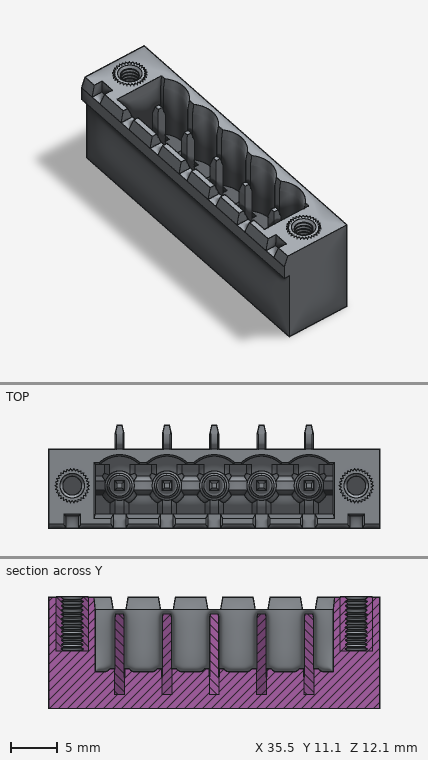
import cadquery as cq
import math

length = 35.55
position_count = 5
pitch = length / (position_count + 2)
contact_xs = [pitch * (i - (position_count - 1) / 2) for i in range(position_count)]
insert_x = pitch * (position_count + 1) / 2
insert_xs = [-insert_x, insert_x]

height = 12.0
half_depth = 3.9
lip_overhang = 0.68
lip_front = -half_depth - lip_overhang
lip_height = 3.02
lip_chamfer_depth = 0.45
lead_in_height = 1.3
lead_in_z = height - lead_in_height

floor_z = 3.45
cavity_half_length = 12.75
cavity_front = -3.05
cavity_back = 2.28
mouth_half_length = 12.9
mouth_front = -3.52
mouth_back = 2.5
bay_radius = 3.0
bay_mouth_radius = 3.15
bay_center_y = 0.18

rib_height = 0.55
rib_top_z = floor_z + rib_height
rib_slope = 0.55
narrow_rib_width = 0.95
wide_rib_width = 2.2
boss_radius = 3.15 / 2
boss_shoulder_radius = 2.65 / 2
boss_top_radius = 2.25 / 2
boss_shoulder_rise = 0.1
boss_cap_rise = 0.2
boss_shoulder_z = rib_top_z + boss_shoulder_rise
boss_top_z = boss_shoulder_z + boss_cap_rise
wall_bite = 0.18

slot_top_width = 1.8
slot_floor_width = 1.35
slot_back = cavity_front
end_slot_floor_back = -3.27

pin_width = 1.0
pin_tip_width = 0.55
pin_taper = 1.0
pin_top = 10.85
socket_width = 1.05
tail_z = 2.03
tail_end = 6.5
tail_chamfer = 0.15

insert_proud = 0.05
knurl_count = 30
knurl_root_radius = 3.2 / 2
knurl_tip_radius = 3.7 / 2
thread_minor_radius = 2.03 / 2
thread_major_radius = 2.5 / 2
thread_pitch = 0.45
thread_crest = thread_pitch / 4
thread_turns = 12
thread_mouth_radius = 2.63 / 2
thread_mouth_depth = thread_pitch / 2
insert_length = thread_turns * thread_pitch + thread_mouth_depth


def frustum_of_boxes(low_rect, low_z, high_rect, high_z):
    """Flat-sided solid between two rectangles given as (x0, x1, y0, y1)."""
    def corners(rect, z):
        x0, x1, y0, y1 = rect
        return [cq.Vector(x0, y0, z), cq.Vector(x1, y0, z), cq.Vector(x1, y1, z), cq.Vector(x0, y1, z)]

    low = corners(low_rect, low_z)
    high = corners(high_rect, high_z)
    outlines = [low, high]
    for i in range(4):
        j = (i + 1) % 4
        outlines.append([low[i], low[j], high[j], high[i]])
    faces = [cq.Face.makeFromWires(cq.Wire.makePolygon(outline, close=True)) for outline in outlines]
    return cq.Workplane(obj=cq.Solid.makeSolid(cq.Shell.makeShell(faces)))


def make_shell():
    """Solid block with the chamfered lip along its front top edge."""
    profile = [
        (half_depth, 0),
        (half_depth, height),
        (lip_front + lip_chamfer_depth, height),
        (lip_front, lead_in_z),
        (lip_front, height - lip_height),
        (-half_depth, height - lip_height),
        (-half_depth, 0),
    ]
    return cq.Workplane("YZ").polyline(profile).close().extrude(length / 2, both=True)


def make_bay(x):
    """Round bulge of the cavity's back wall behind one contact, floored level with the rib tops."""
    cylinder = cq.Solid.makeCylinder(bay_radius, lead_in_z - rib_top_z, cq.Vector(x, bay_center_y, rib_top_z))
    mouth = cq.Solid.makeCone(
        bay_radius, bay_mouth_radius, lead_in_height, cq.Vector(x, bay_center_y, lead_in_z)
    )
    behind = cq.Workplane().box(pitch, half_depth, height, centered=(True, False, False))
    behind = behind.translate((x, cavity_back - wall_bite, 0))
    return cq.Workplane(obj=cylinder).union(cq.Workplane(obj=mouth)).intersect(behind)


def make_cavity():
    straight = (-cavity_half_length, cavity_half_length, cavity_front, cavity_back)
    mouth = (-mouth_half_length, mouth_half_length, mouth_front, mouth_back)
    cavity = frustum_of_boxes(straight, floor_z, straight, lead_in_z)
    cavity = cavity.union(frustum_of_boxes(straight, lead_in_z, mouth, height))
    for x in contact_xs:
        cavity = cavity.union(make_bay(x))
    return cavity


def rib_profile(plane, top_width):
    """Trapezoid with sloping flanks, standing on the floor of the given plane."""
    half_top = top_width / 2
    half_base = half_top + rib_slope
    corners = [
        (-half_base, floor_z),
        (half_base, floor_z),
        (half_top, rib_top_z),
        (-half_top, rib_top_z),
    ]
    return cq.Workplane(plane).polyline(corners).close()


def make_boss():
    """Round boss with two conical stages on a conical skirt, centred on the Z axis."""
    profile = [
        (0, floor_z),
        (boss_radius + rib_slope, floor_z),
        (boss_radius, rib_top_z),
        (boss_shoulder_radius, boss_shoulder_z),
        (boss_top_radius, boss_top_z),
        (0, boss_top_z),
    ]
    return cq.Workplane("XZ").polyline(profile).close().revolve(360, (0, 0, 0), (0, 1, 0))


def make_floor_relief():
    """One long rib joining the bosses, with a front and a back rib at each boss."""
    relief = rib_profile("YZ", narrow_rib_width).extrude(cavity_half_length + wall_bite, both=True)
    front_rib = rib_profile("XZ", narrow_rib_width).extrude(wall_bite - cavity_front)
    back_rib = rib_profile("XZ", wide_rib_width).extrude(-(cavity_back + wall_bite))
    station = make_boss().union(front_rib).union(back_rib)
    for x in contact_xs:
        relief = relief.union(station.translate((x, 0, 0)))
    return relief


def make_boss_socket(x):
    """Square opening in the boss, slightly wider than the contact's shaft."""
    depth = boss_top_z - floor_z
    socket = cq.Workplane().box(socket_width, socket_width, depth, centered=(True, True, False))
    return socket.translate((x, 0, floor_z))


def make_lip_slot(x, floor_back):
    """Notch through the lip, narrowing downwards."""
    def footprint(width, back):
        return (x - width / 2, x + width / 2, lip_front, back)

    return frustum_of_boxes(
        footprint(slot_floor_width, floor_back), lead_in_z, footprint(slot_top_width, slot_back), height
    )


def tapered_bar(bar_length, corner_chamfer):
    """Square bar standing on the origin, its top end tapered on four sides."""
    full = (-pin_width / 2, pin_width / 2) * 2
    tip = (-pin_tip_width / 2, pin_tip_width / 2) * 2
    straight_length = bar_length - pin_taper
    bar = frustum_of_boxes(full, 0, full, straight_length)
    bar = bar.union(frustum_of_boxes(full, straight_length, tip, bar_length))
    if corner_chamfer:
        envelope = cq.Workplane().rect(pin_width, pin_width).extrude(bar_length)
        bar = bar.intersect(envelope.edges("|Z").chamfer(corner_chamfer))
    return bar


def make_pin(x):
    """Square L-shaped contact with tapered ends."""
    shaft_bottom = tail_z - pin_width / 2
    shaft = tapered_bar(pin_top - shaft_bottom, 0).translate((0, 0, shaft_bottom))
    tail = tapered_bar(tail_end, tail_chamfer)
    tail = tail.rotate((0, 0, 0), (1, 0, 0), -90).translate((0, 0, tail_z))
    return shaft.union(tail).translate((x, 0, 0))


def make_knurled_blank(x):
    """Star-shaped rod that fills the insert's seat in the housing."""
    outline = []
    for i in range(2 * knurl_count):
        angle = math.pi * i / knurl_count
        radius = knurl_root_radius if i % 2 else knurl_tip_radius
        outline.append((radius * math.cos(angle), radius * math.sin(angle)))
    blank = cq.Workplane().polyline(outline).close().extrude(insert_length)
    return blank.translate((x, 0, height + insert_proud - insert_length))


def make_insert(x):
    """Knurled sleeve with a through bore, ring-shaped thread grooves and a flared mouth."""
    top = height + insert_proud
    bottom = top - insert_length
    profile = [(0, bottom)]
    for i in range(thread_turns):
        groove_start = bottom + i * thread_pitch
        groove_end = groove_start + thread_pitch - thread_crest
        profile.append((thread_minor_radius, groove_start))
        profile.append((thread_major_radius, (groove_start + groove_end) / 2))
        profile.append((thread_minor_radius, groove_end))
    profile += [(thread_minor_radius, top - thread_mouth_depth), (thread_mouth_radius, top), (0, top)]
    bore = cq.Workplane("XZ").polyline(profile).close().revolve(360, (0, 0, 0), (0, 1, 0))
    return make_knurled_blank(x).cut(bore.translate((x, 0, 0)))


def make_housing(pins):
    housing = make_shell().cut(make_cavity()).union(make_floor_relief())
    for x in contact_xs:
        housing = housing.cut(make_lip_slot(x, slot_back))
    for x in insert_xs:
        housing = housing.cut(make_lip_slot(x, end_slot_floor_back))
        housing = housing.cut(make_knurled_blank(x))
    for x in contact_xs:
        housing = housing.cut(make_boss_socket(x))
    for pin in pins:
        housing = housing.cut(pin)
    return housing


contact_pins = [make_pin(x) for x in contact_xs]
threaded_inserts = [make_insert(x) for x in insert_xs]
housing = make_housing(contact_pins)

result = cq.Compound.makeCompound(
    [housing.val()] + [pin.val() for pin in contact_pins] + [insert.val() for insert in threaded_inserts]
)